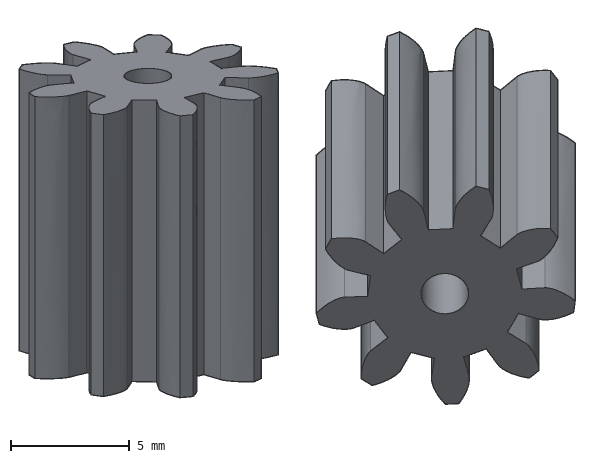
import cadquery as cq
import math

module = 1.0
tooth_count = 9
pressure_angle = math.radians(20)
face_width = 12.5
bore_diameter = 2.0

addendum_factor = 1.0
dedendum_factor = 1.25

pitch_radius = module * tooth_count / 2
tip_radius = pitch_radius + addendum_factor * module
root_radius = pitch_radius - dedendum_factor * module
base_radius = pitch_radius * math.cos(pressure_angle)

tooth_pitch = 2 * math.pi / tooth_count
flank_steps = 8


def involute(angle):
    return math.tan(angle) - angle


def half_angle(radius):
    """Half of the angle that a tooth spans at a radius on its involute."""
    pitch_half_angle = tooth_pitch / 4
    return pitch_half_angle + involute(pressure_angle) - involute(math.acos(base_radius / radius))


def polar(radius, angle):
    return (radius * math.cos(angle), radius * math.sin(angle))


def involute_flank(center_angle, side):
    """Points from the base circle to the tip; side is -1 or +1 about the tooth center."""
    tip_roll = math.sqrt((tip_radius / base_radius) ** 2 - 1)
    points = []
    for step in range(flank_steps + 1):
        roll = tip_roll * step / flank_steps
        radius = base_radius * math.hypot(1, roll)
        points.append(polar(radius, center_angle + side * half_angle(radius)))
    return points


def gear_outline():
    """Closed profile: radial flanks up to the base circle, involutes above it.

    The tooth tips and the root lands between the teeth are flat.
    """
    base_half_angle = half_angle(base_radius)
    outline = cq.Workplane("XY").moveTo(*polar(root_radius, -base_half_angle))
    for tooth in range(tooth_count):
        center = tooth * tooth_pitch
        rising = involute_flank(center, -1)
        falling = involute_flank(center, 1)[::-1]
        outline = (
            outline.lineTo(*rising[0])
            .spline(rising[1:], includeCurrent=True)
            .lineTo(*falling[0])
            .spline(falling[1:], includeCurrent=True)
            .lineTo(*polar(root_radius, center + base_half_angle))
        )
        if tooth < tooth_count - 1:
            next_root_angle = center + tooth_pitch - base_half_angle
            outline = outline.lineTo(*polar(root_radius, next_root_angle))
    return outline.close()


gear_blank = gear_outline().extrude(face_width)
result = gear_blank.faces(">Z").workplane(origin=(0, 0, face_width)).hole(bore_diameter)